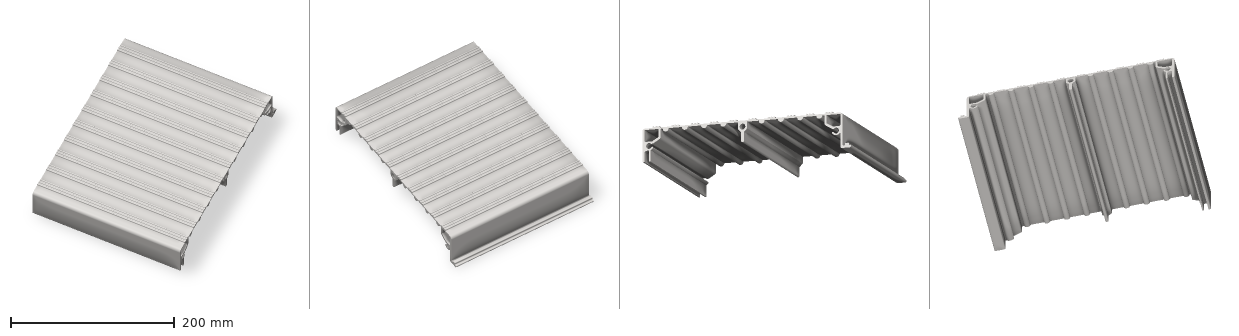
import cadquery as cq
import math

length = 200.0
overall_width = 271.0
overall_height = 46.5
deck_width = 260.2
half_width = deck_width / 2

deck_top = 44.7
deck_thickness = 2.0
deck_bottom = deck_top - deck_thickness
wall_thickness = 3.0
wall_inner = half_width - wall_thickness
corner_radius = 4.0
foot_radius = 1.4

group_count = 10
outer_group_y = 112.2
group_pitch = 2 * outer_group_y / (group_count - 1)
teeth_per_group = 3
tooth_pitch = 3.8
tooth_width = 1.5
pad_height = 0.8
pad_foot_radius = 0.8
crest_radius = 0.5
root_radius = 0.4

ribs_per_side = 4
rib_radius = 3.8

screw_diameter = 7.3
screw_radius = screw_diameter / 2
boss_half_width = 6.0
boss_hole_z = 37.0
boss_shoulder_z = 34.5
stem_half_width = 2.0
stem_top_z = boss_shoulder_z - (boss_half_width - stem_half_width)
stem_bottom_z = 17.5

duct_web_thickness = 2.5
duct_web_outer = 106.5
duct_web_inner = duct_web_outer + duct_web_thickness
duct_floor_z = 28.0
duct_floor_start = 117.3
duct_slope = math.tan(math.radians(30))
duct_underside_z = 25.0
duct_underside_start = 116.5
duct_bend_radius = 3.3
duct_fillet = 1.5

channel_y = 121.5
channel_z = 22.5
hook_thickness = 2.2
hook_radius = screw_radius + hook_thickness
mouth_low_angle = -30
mouth_high_angle = 60
lip_side_fill_z = 19.0

lip_width = overall_width - deck_width
lip_thickness = 3.0
lip_radius = 2.0
lip_rib_inset = 3.0
lip_rib_width = 5.0
lip_rib_height = 3.0
lip_small_radius = 0.8

plain_wall_bottom = 2.7
leg_thickness = 2.0
leg_near_y = 121.1
leg_gusset_size = 1.4


def extrude(sketch):
    return sketch.extrude(length / 2, both=True)


def box(y_min, y_max, z_min, z_max):
    return polygon([(y_min, z_min), (y_max, z_min), (y_max, z_max), (y_min, z_max)])


def polygon(points):
    return extrude(cq.Workplane("YZ").polyline(points).close())


def cylinder(y, z, radius):
    return extrude(cq.Workplane("YZ").center(y, z).circle(radius))


def round_edge(solid, y, z, radius):
    """Fillet the lengthwise edge that passes through (y, z)."""
    return solid.edges(cq.selectors.NearestToPointSelector((0, y, z))).fillet(radius)


def tread_group(y):
    """Pad with flared feet carrying teeth with rounded crests and roots."""
    half_span = ((teeth_per_group - 1) * tooth_pitch + tooth_width) / 2
    half_foot = half_span + pad_foot_radius
    group = box(y - half_foot, y + half_foot, deck_bottom, deck_top + pad_foot_radius)
    for side in (-1, 1):
        foot_y = y + side * half_foot
        group = group.cut(cylinder(foot_y, deck_top + pad_foot_radius, pad_foot_radius))
    group = group.union(box(y - half_span, y + half_span, deck_bottom, deck_top + pad_height))
    for index in range(teeth_per_group):
        tooth_start = y - half_span + index * tooth_pitch
        tooth = box(tooth_start, tooth_start + tooth_width, deck_bottom, overall_height)
        group = group.union(tooth.faces(">Z").edges("|X").fillet(crest_radius))
    for index in range(teeth_per_group - 1):
        valley_start = y - half_span + index * tooth_pitch + tooth_width
        valley_end = valley_start + tooth_pitch - tooth_width
        group = round_edge(group, valley_start, deck_top + pad_height, root_radius)
        group = round_edge(group, valley_end, deck_top + pad_height, root_radius)
    return group


def half_round_rib(y):
    rib = cylinder(y, deck_bottom, rib_radius)
    rib_bottom = deck_bottom - rib_radius
    return rib.intersect(box(y - rib_radius, y + rib_radius, rib_bottom, deck_top))


def screw_boss():
    boss = polygon([
        (-boss_half_width, deck_bottom),
        (-boss_half_width, boss_shoulder_z),
        (-stem_half_width, stem_top_z),
        (stem_half_width, stem_top_z),
        (boss_half_width, boss_shoulder_z),
        (boss_half_width, deck_bottom),
    ])
    stem_end_z = stem_bottom_z + stem_half_width
    stem = box(-stem_half_width, stem_half_width, stem_end_z, stem_top_z)
    stem_end = cylinder(0, stem_end_z, stem_half_width)
    hole = cylinder(0, boss_hole_z, screw_radius)
    return boss.union(stem).union(stem_end).cut(hole)


def channel_point(distance, angle):
    """Point around the channel axis; the angle rises from the deck-centre direction."""
    radians = math.radians(angle)
    return channel_y - distance * math.cos(radians), channel_z + distance * math.sin(radians)


def duct_and_channel(fill_z):
    """Duct and screw channel on the +Y side; fill_z is where the wall stops being thickened."""
    bend_z = duct_underside_z + (duct_underside_start - duct_web_outer) * duct_slope
    body = polygon([
        (duct_web_outer, deck_bottom),
        (duct_web_outer, bend_z),
        (duct_underside_start, duct_underside_z),
        (wall_inner, duct_underside_z),
        (wall_inner, deck_bottom),
    ])
    body = round_edge(body, duct_web_outer, bend_z, duct_bend_radius)

    cavity_bend_z = duct_floor_z + (duct_floor_start - duct_web_inner) * duct_slope
    cavity = polygon([
        (duct_web_inner, deck_bottom),
        (duct_web_inner, cavity_bend_z),
        (duct_floor_start, duct_floor_z),
        (wall_inner, duct_floor_z),
        (wall_inner, deck_bottom),
    ])
    cavity = round_edge(cavity, wall_inner, duct_floor_z, duct_fillet)

    mouth_reach = 2 * hook_radius
    mouth = polygon([
        (channel_y, channel_z),
        channel_point(mouth_reach, mouth_low_angle),
        channel_point(mouth_reach, mouth_high_angle),
    ])
    hook = cylinder(channel_y, channel_z, hook_radius).cut(mouth)
    tip_y, tip_z = channel_point(screw_radius + hook_thickness / 2, mouth_low_angle)
    hook_tip = cylinder(tip_y, tip_z, hook_thickness / 2)
    wall_fill = box(channel_y, wall_inner, fill_z, duct_underside_z)
    channel = cylinder(channel_y, channel_z, screw_radius)
    return body.union(hook).union(hook_tip).union(wall_fill).cut(cavity).cut(channel)


def deck_with_walls():
    shell = box(-half_width, half_width, 0, deck_top)
    shell = shell.cut(box(-half_width, -wall_inner, 0, plain_wall_bottom))
    shell = shell.cut(box(-wall_inner, wall_inner, 0, deck_bottom))
    shell = round_edge(shell, -half_width, deck_top, corner_radius)
    shell = round_edge(shell, half_width, deck_top, corner_radius)
    return round_edge(shell, -half_width, plain_wall_bottom, foot_radius)


def hooked_lip():
    lip_tip = half_width + lip_width
    lip = box(wall_inner, lip_tip, 0, lip_thickness)
    lip = round_edge(lip, lip_tip, 0, lip_radius)
    lip = round_edge(lip, wall_inner, 0, lip_radius)
    lip = round_edge(lip, lip_tip, lip_thickness, lip_small_radius)

    rib_outer = lip_tip - lip_rib_inset
    rib_inner = rib_outer - lip_rib_width
    rib_top = lip_thickness + lip_rib_height
    lip = lip.union(box(rib_inner, rib_outer, lip_thickness / 2, rib_top))
    for rib_side in (rib_inner, rib_outer):
        lip = round_edge(lip, rib_side, rib_top, lip_small_radius)
        lip = round_edge(lip, rib_side, lip_thickness, lip_small_radius)
    return lip


def groove_leg():
    """Leg parallel to the -Y wall, hanging from that wall's screw channel."""
    hook_bottom = channel_z - hook_radius
    leg_top = channel_z - screw_radius
    leg_far_y = leg_near_y - leg_thickness
    leg = box(-leg_near_y, -leg_far_y, plain_wall_bottom, leg_top)
    gusset = polygon([
        (-wall_inner, hook_bottom),
        (-wall_inner, hook_bottom - leg_gusset_size),
        (-wall_inner + leg_gusset_size, hook_bottom),
    ])
    bridge = box(-channel_y, -leg_far_y, hook_bottom, leg_top)
    channel = cylinder(-channel_y, channel_z, screw_radius)
    return leg.union(bridge).union(gusset).cut(channel)


result = deck_with_walls()
result = result.cut(box(wall_inner, half_width, 0, lip_thickness)).union(hooked_lip())
result = round_edge(result, half_width, lip_thickness, lip_small_radius)

for group_index in range(group_count):
    result = result.union(tread_group(-outer_group_y + group_index * group_pitch))

for rib_index in range(1, ribs_per_side + 1):
    for side in (-1, 1):
        result = result.union(half_round_rib(side * rib_index * group_pitch))

result = result.union(screw_boss())
result = result.union(duct_and_channel(lip_side_fill_z))
result = result.union(duct_and_channel(channel_z - hook_radius).mirror("XZ"))
result = result.union(groove_leg())